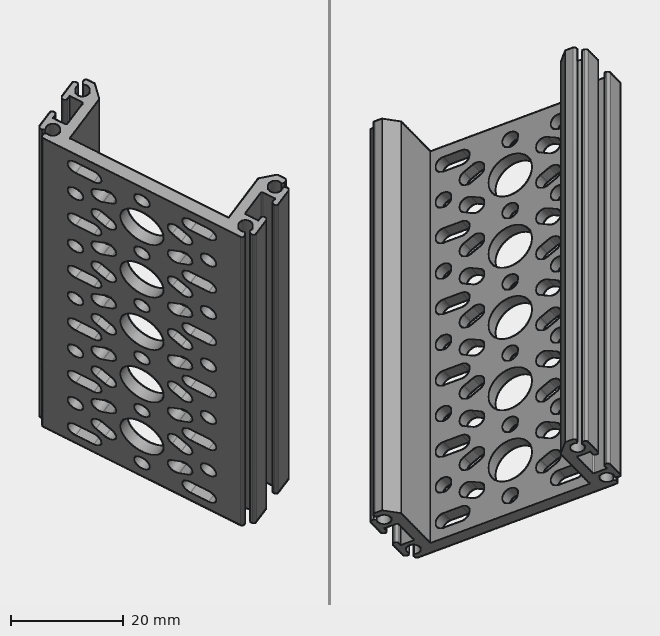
import cadquery as cq
import math

WIDTH = 45.0
DEPTH = 15.0
LENGTH = 88.0

FLANGE_WIDTH = 6.0
WEB_THICKNESS = 2.5
INNER_CHAMFER = 2.5

SLOT_DEPTH = 4.0
SLOT_WIDTH = 5.6
SLOT_OPENING = 3.2
LIP_THICKNESS = 1.1
SLOT_CORNER_RADIUS = 0.3

CHANNEL_INSET = 2.5
CHANNEL_DIAMETER = 2.6
CORNER_NOTCH = 1.5
GAP_WIDTH = 0.9
EDGE_RADIUS = 0.5

PITCH_COUNT = 5
END_MARGIN_IN_PITCHES = 0.25
PITCH = LENGTH / (PITCH_COUNT + 2 * END_MARGIN_IN_PITCHES)
BORE_DIAMETER = 9.0
HOLE_DIAMETER = 3.3
SIDE_HOLE_OFFSET = 13.8
SIDE_SLOT_SPACING = 3.8
DIAGONAL_SLOT_X = 7.9
DIAGONAL_SLOT_Z = 3.5
DIAGONAL_SLOT_SPACING = 2.1
DIAGONAL_SLOT_TILT = 26.5

HALF_WIDTH = WIDTH / 2
HALF_DEPTH = DEPTH / 2
HALF_LENGTH = LENGTH / 2
WEB_INNER_Y = WEB_THICKNESS - HALF_DEPTH


def bar(x_size, y_size, x, y):
    """Full-length rectangular bar centred at (x, y)."""
    return cq.Workplane("XY").box(x_size, y_size, LENGTH).translate((x, y, 0))


def round_long_edges(body, points, radius):
    """Fillet the lengthwise edges that pass through the given (x, y) points."""
    for x, y in points:
        body = body.edges(cq.NearestToPointSelector((x, y, 0))).fillet(radius)
    return body


def make_channel_blank():
    """Plain U-channel with the flange tips chamfered on the inside."""
    cavity_width = WIDTH - 2 * FLANGE_WIDTH
    blank = bar(WIDTH, DEPTH, 0, 0)
    blank = blank.cut(bar(cavity_width, DEPTH, 0, WEB_THICKNESS))
    tips = [(side * cavity_width / 2, HALF_DEPTH) for side in (-1, 1)]
    for x, y in tips:
        blank = blank.edges(cq.NearestToPointSelector((x, y, 0))).chamfer(INNER_CHAMFER)
    return blank


def make_t_slot(side):
    """Cutter for the T-slot in one flange."""
    pocket_depth = SLOT_DEPTH - LIP_THICKNESS
    pocket_x = side * (HALF_WIDTH - LIP_THICKNESS - pocket_depth / 2)
    pocket = bar(pocket_depth, SLOT_WIDTH, pocket_x, 0)
    inner_face = "<X" if side > 0 else ">X"
    pocket = pocket.faces(inner_face).edges("|Z").fillet(SLOT_CORNER_RADIUS)
    mouth = bar(SLOT_DEPTH, SLOT_OPENING, side * (HALF_WIDTH - SLOT_DEPTH / 2), 0)
    return pocket.union(mouth)


def make_screw_channel(x_side, y_side):
    """Cutter for one screw channel with its corner notch and diagonal gap."""
    corner_x = x_side * HALF_WIDTH
    corner_y = y_side * HALF_DEPTH
    notch = bar(2 * CORNER_NOTCH, 2 * CORNER_NOTCH, corner_x, corner_y)
    gap_length = CHANNEL_INSET * math.sqrt(2)
    gap = bar(gap_length, GAP_WIDTH, -gap_length / 2, 0)
    gap = gap.rotate((0, 0, 0), (0, 0, 1), math.degrees(math.atan2(y_side, x_side)))
    gap = gap.translate((corner_x, corner_y, 0))
    channel = (
        cq.Workplane("XY", origin=(0, 0, -HALF_LENGTH))
        .center(x_side * (HALF_WIDTH - CHANNEL_INSET), y_side * (HALF_DEPTH - CHANNEL_INSET))
        .circle(CHANNEL_DIAMETER / 2)
        .extrude(LENGTH)
    )
    return channel.union(notch).union(gap)


def drill_holes(body, diameter, points):
    """Drill round holes through the web at (x, z) points."""
    holes = (
        cq.Workplane("XZ", origin=(0, WEB_INNER_Y, 0))
        .pushPoints(points)
        .circle(diameter / 2)
        .extrude(WEB_THICKNESS)
    )
    return body.cut(holes)


def cut_slot(body, x, z, spacing, tilt):
    """Cut a slot through the web, centred at (x, z), with the given distance between its end centres."""
    slot = (
        cq.Workplane("XZ", origin=(0, WEB_INNER_Y, 0))
        .center(x, z)
        .slot2D(spacing + HOLE_DIAMETER, HOLE_DIAMETER, tilt)
        .extrude(WEB_THICKNESS)
    )
    return body.cut(slot)


result = make_channel_blank()
for x_side in (-1, 1):
    result = result.cut(make_t_slot(x_side))
    for y_side in (-1, 1):
        result = result.cut(make_screw_channel(x_side, y_side))

for x_side in (-1, 1):
    for y_side in (-1, 1):
        rounded_edges = [
            (x_side * (HALF_WIDTH - CORNER_NOTCH), y_side * HALF_DEPTH),
            (x_side * HALF_WIDTH, y_side * (HALF_DEPTH - CORNER_NOTCH)),
            (x_side * HALF_WIDTH, y_side * SLOT_OPENING / 2),
            (x_side * (HALF_WIDTH - LIP_THICKNESS), y_side * SLOT_OPENING / 2),
        ]
        result = round_long_edges(result, rounded_edges, EDGE_RADIUS)

row_heights = [(i - PITCH_COUNT / 2) * PITCH for i in range(PITCH_COUNT + 1)]
bore_heights = [z + PITCH / 2 for z in row_heights[:-1]]
side_holes = [(side * SIDE_HOLE_OFFSET, z) for z in bore_heights for side in (-1, 1)]
result = drill_holes(result, BORE_DIAMETER, [(0, z) for z in bore_heights])
result = drill_holes(result, HOLE_DIAMETER, [(0, z) for z in row_heights] + side_holes)

for z in row_heights:
    for side in (-1, 1):
        slot_x = side * (SIDE_HOLE_OFFSET - SIDE_SLOT_SPACING / 2)
        result = cut_slot(result, slot_x, z, SIDE_SLOT_SPACING, 0)

for z in bore_heights:
    for x_side in (-1, 1):
        for z_side in (-1, 1):
            slot_x = x_side * DIAGONAL_SLOT_X
            slot_z = z + z_side * DIAGONAL_SLOT_Z
            tilt = -x_side * z_side * DIAGONAL_SLOT_TILT
            result = cut_slot(result, slot_x, slot_z, DIAGONAL_SLOT_SPACING, tilt)